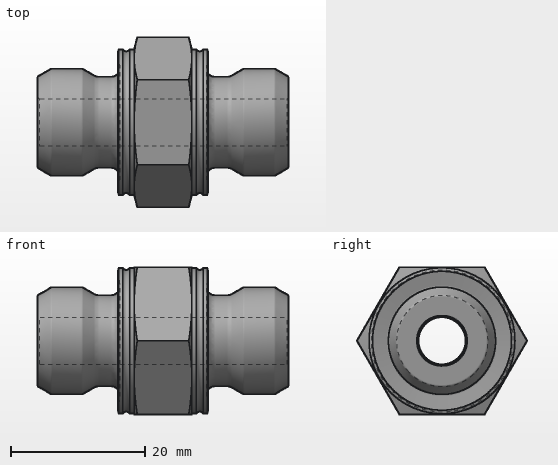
import cadquery as cq
import math


length = 37.5
half_length = length / 2
bore_diameter = 7.0
bore_chamfer = 0.25

thread_radius = 16.0 / 2
neck_radius = 13.6 / 2
cone_angle = math.radians(30)
cone_length = (thread_radius - neck_radius) / math.tan(cone_angle)
thread_end = 6.7
crest_fillet = 0.38
neck_fillet = 1.28

flange_radius = 21.8 / 2
flange_start = 12.0
rim_chamfer_length = 0.15
rim_chamfer_height = 0.52
seal_angle = math.radians(8)
groove_start = 12.75
groove_width = 1.0
groove_depth = 0.3

hex_across_flats = 22.0
hex_across_corners = hex_across_flats / math.cos(math.radians(30))
hex_start = 14.45
hex_face_radius = 10.95
hex_width = length - 2 * hex_start
hex_chamfer_angle = math.radians(15)


def revolve_about_x(profile):
    return profile.close().revolve(360, (0, 0, 0), (1, 0, 0))


def fillet_ring(body, distance, ring_radius, fillet_radius):
    """Round the circular edge at a given distance from the tip and a given radius."""
    position = distance - half_length
    margin = 0.005
    ring = cq.selectors.BoxSelector(
        (position - margin, -margin - ring_radius, -margin - ring_radius),
        (position + margin, margin + ring_radius, margin + ring_radius),
        boundingbox=True,
    )
    return body.edges("%CIRCLE").edges(ring).fillet(fillet_radius)


def make_turned_half():
    """Solid from the left tip to the middle of the part."""
    rim_radius = flange_radius - rim_chamfer_height
    seal_root = flange_start + (rim_radius - neck_radius) * math.tan(seal_angle)
    neck_start = thread_end + cone_length
    groove_end = groove_start + groove_width
    outline = (
        cq.Workplane("XY", origin=(-half_length, 0, 0))
        .moveTo(0, 0)
        .lineTo(0, neck_radius)
        .lineTo(cone_length, thread_radius)
        .lineTo(thread_end, thread_radius)
        .lineTo(neck_start, neck_radius)
        .lineTo(seal_root, neck_radius)
        .lineTo(flange_start, rim_radius)
        .lineTo(flange_start + rim_chamfer_length, flange_radius)
        .lineTo(groove_start, flange_radius)
        .threePointArc(
            (groove_start + groove_width / 2, flange_radius - groove_depth),
            (groove_end, flange_radius),
        )
        .lineTo(half_length, flange_radius)
        .lineTo(half_length, 0)
    )
    body = revolve_about_x(outline)
    rings = [
        (0, neck_radius, crest_fillet),
        (cone_length, thread_radius, crest_fillet),
        (thread_end, thread_radius, crest_fillet),
        (neck_start, neck_radius, neck_fillet),
        (seal_root, neck_radius, neck_fillet),
    ]
    for distance, ring_radius, fillet_radius in rings:
        body = fillet_ring(body, distance, ring_radius, fillet_radius)
    return body


def make_hexagon():
    """Hexagon with flats facing up and down and its corners turned off at both ends."""
    prism = (
        cq.Workplane("YZ", origin=(-hex_width / 2, 0, 0))
        .polygon(6, hex_across_corners)
        .extrude(hex_width)
    )
    corner_radius = hex_across_corners / 2
    bevel = (corner_radius - hex_face_radius) * math.tan(hex_chamfer_angle)
    envelope = revolve_about_x(
        cq.Workplane("XY")
        .moveTo(-hex_width / 2, 0)
        .lineTo(-hex_width / 2, hex_face_radius)
        .lineTo(-hex_width / 2 + bevel, corner_radius)
        .lineTo(hex_width / 2 - bevel, corner_radius)
        .lineTo(hex_width / 2, hex_face_radius)
        .lineTo(hex_width / 2, 0)
    )
    return prism.intersect(envelope)


def make_bore():
    """Through bore with a chamfered mouth at both ends."""
    bore_radius = bore_diameter / 2
    mouth_radius = bore_radius + bore_chamfer
    return revolve_about_x(
        cq.Workplane("XY")
        .moveTo(-half_length, 0)
        .lineTo(-half_length, mouth_radius)
        .lineTo(-half_length + bore_chamfer, bore_radius)
        .lineTo(half_length - bore_chamfer, bore_radius)
        .lineTo(half_length, mouth_radius)
        .lineTo(half_length, 0)
    )


turned_half = make_turned_half()
turned_body = turned_half.union(turned_half.mirror("YZ"))
result = turned_body.union(make_hexagon()).cut(make_bore())